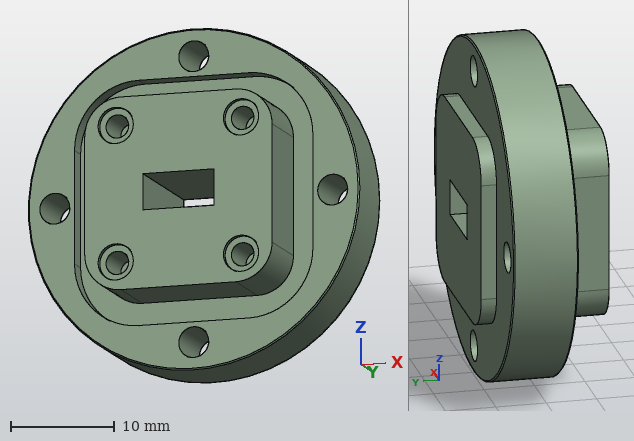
import cadquery as cq

flange_diameter = 33.65
flange_thickness = 6.43
edge_chamfer = 0.15

block_side = 19.02
block_corner_radius = 3.67
front_projection = 4.75
back_projection = 1.5

moat_width = 2.6
moat_corner_radius = 6.5
moat_depth = 1.9

guide_width = 7.2
guide_height = 3.57

flange_hole_diameter = 3.03
flange_hole_radius = 14.1

screw_offset_x = 6.35
screw_offset_z = 6.73
screw_hole_diameter = 2.3
screw_hole_depth = 5.05
counterbore_diameter = 3.57
counterbore_depth = 0.5

block_front = -front_projection
block_back = flange_thickness + back_projection
block_length = block_back - block_front


def plane_at(y):
    """Sketch plane at height y, with its normal pointing along +Y."""
    return cq.Workplane(cq.Plane(origin=(0, y, 0), xDir=(1, 0, 0), normal=(0, 1, 0)))


def rounded_square(y, side, corner_radius, length):
    """Square bar with rounded corners, running from y along +Y."""
    return plane_at(y).rect(side, side).extrude(length).edges("|Y").fillet(corner_radius)


def cylinders(y, centres, diameter, length):
    """Cylinders on the given centres, running from y along +Y."""
    return plane_at(y).pushPoints(centres).circle(diameter / 2).extrude(length)


flange = plane_at(0).circle(flange_diameter / 2).extrude(flange_thickness)
flange = flange.edges().chamfer(edge_chamfer)

moat_side = block_side + 2 * moat_width
moat = rounded_square(0, moat_side, moat_corner_radius, moat_depth)
block = rounded_square(block_front, block_side, block_corner_radius, block_length)
guide = plane_at(block_front).rect(guide_width, guide_height).extrude(block_length)

flange_hole_centres = [
    (flange_hole_radius, 0),
    (-flange_hole_radius, 0),
    (0, flange_hole_radius),
    (0, -flange_hole_radius),
]
flange_holes = cylinders(0, flange_hole_centres, flange_hole_diameter, flange_thickness)

screw_centres = [
    (side_x * screw_offset_x, side_z * screw_offset_z)
    for side_x in (-1, 1)
    for side_z in (-1, 1)
]
screw_holes = cylinders(block_front, screw_centres, screw_hole_diameter, screw_hole_depth)
counterbores = cylinders(block_front, screw_centres, counterbore_diameter, counterbore_depth)

result = flange.cut(flange_holes).cut(moat).union(block)
result = result.cut(guide).cut(screw_holes).cut(counterbores)